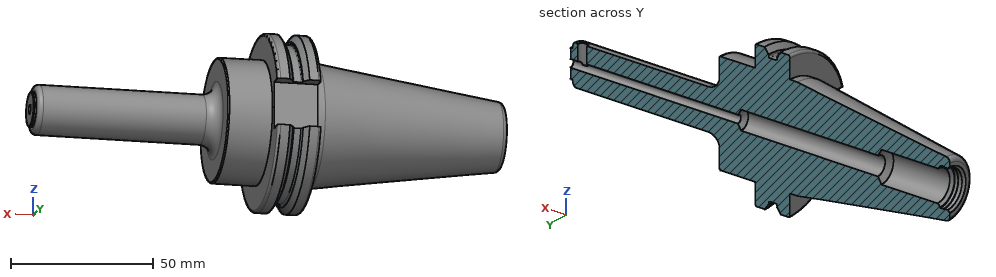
import cadquery as cq
import math

total_length = 169.8
gauge_x = 68.3
flange_start_x = gauge_x + 3.2
flange_end_x = gauge_x + 19.0
shoulder_end_x = gauge_x + 35.0
tip_length = 1.0
shank_end_x = total_length - tip_length

gauge_dia = 44.5
flange_dia = 63.4
shank_dia = 17.8
tip_dia = 12.5
taper_per_length = 7 / 24
small_end_dia = gauge_dia - gauge_x * taper_per_length

small_end_round = 2.0
flange_round = 1.0
shoulder_chamfer = 0.5
shank_root_radius = 5.0
shank_end_round = 1.9
tip_chamfer = 0.3

groove_center_x = gauge_x + 11.0
groove_dia = 56.0
groove_floor_width = 3.5
groove_mouth_width = 7.1
groove_wall_dia = 58.5
groove_corner_radius = 0.5

slot_width = 16.8
slot_floor_front = gauge_dia / 2
slot_floor_back = 24.8

mouth_dia = 17.8
pilot_dia = 16.0
relief_dia = 16.3
thread_mouth_dia = 15.8
thread_dia = 13.5
coolant_dia = 8.0
outlet_dia = 3.2
pilot_depth = 2.7
relief_end_depth = 4.2
thread_depth = 30.5
coolant_depth = 93.5
lead_in_angle = 45
drill_half_angle = 59

cross_hole_dia = 3.9
cross_hole_sink_dia = 5.0
cross_hole_x = 164.5


def cone_length(large_dia, small_dia, half_angle):
    """Axial length of a cone between two diameters."""
    return (large_dia - small_dia) / 2 / math.tan(math.radians(half_angle))


def revolve_about_x(profile):
    return profile.close().revolve(360, (0, 0, 0), (1, 0, 0))


def make_body():
    """Taper, shoulder and shank as one turned solid."""
    diag = math.sqrt(0.5)
    taper_angle = math.atan(taper_per_length / 2)
    round_end_x = small_end_round * (1 - math.sin(taper_angle))
    round_end_r = small_end_dia / 2 + round_end_x * taper_per_length / 2
    round_center_r = round_end_r - small_end_round * math.cos(taper_angle)
    round_mid_angle = (math.pi / 2 + taper_angle + math.pi) / 2
    round_mid = (
        small_end_round * (1 + math.cos(round_mid_angle)),
        round_center_r + small_end_round * math.sin(round_mid_angle),
    )
    root_center = (shoulder_end_x + shank_root_radius, shank_dia / 2 + shank_root_radius)
    root_mid = (root_center[0] - shank_root_radius * diag, root_center[1] - shank_root_radius * diag)
    end_center = (shank_end_x - shank_end_round, shank_dia / 2 - shank_end_round)
    end_mid = (end_center[0] + shank_end_round * diag, end_center[1] + shank_end_round * diag)

    profile = (
        cq.Workplane("XY")
        .moveTo(0, 0)
        .lineTo(0, round_center_r)
        .threePointArc(round_mid, (round_end_x, round_end_r))
        .lineTo(gauge_x, gauge_dia / 2)
        .lineTo(shoulder_end_x - shoulder_chamfer, gauge_dia / 2)
        .lineTo(shoulder_end_x, gauge_dia / 2 - shoulder_chamfer)
        .lineTo(shoulder_end_x, root_center[1])
        .threePointArc(root_mid, (root_center[0], shank_dia / 2))
        .lineTo(end_center[0], shank_dia / 2)
        .threePointArc(end_mid, (shank_end_x, end_center[1]))
        .lineTo(shank_end_x, tip_dia / 2)
        .lineTo(total_length - tip_chamfer, tip_dia / 2)
        .lineTo(total_length, tip_dia / 2 - tip_chamfer)
        .lineTo(total_length, 0)
    )
    return revolve_about_x(profile)


def make_flange():
    """Rounded disc with a gripper groove and two drive slots."""
    thickness = flange_end_x - flange_start_x
    disc = (
        cq.Workplane("YZ")
        .workplane(offset=flange_start_x)
        .circle(flange_dia / 2)
        .extrude(thickness)
        .edges()
        .fillet(flange_round)
    )
    groove = revolve_about_x(
        cq.Workplane("XY")
        .moveTo(groove_center_x - groove_mouth_width / 2, flange_dia / 2)
        .lineTo(groove_center_x - groove_floor_width / 2, groove_wall_dia / 2)
        .lineTo(groove_center_x - groove_floor_width / 2, groove_dia / 2)
        .lineTo(groove_center_x + groove_floor_width / 2, groove_dia / 2)
        .lineTo(groove_center_x + groove_floor_width / 2, groove_wall_dia / 2)
        .lineTo(groove_center_x + groove_mouth_width / 2, flange_dia / 2)
    )
    floor_corners = cq.selectors.RadiusNthSelector(0)
    groove = groove.edges(floor_corners).fillet(groove_corner_radius)
    disc = disc.cut(groove)
    for side, floor in ((-1, slot_floor_front), (1, slot_floor_back)):
        slot = cq.Workplane("XY").box(thickness, flange_dia, slot_width)
        slot_center = (flange_start_x + thickness / 2, side * (floor + flange_dia / 2), 0)
        disc = disc.cut(slot.translate(slot_center))
    return disc


def make_bore():
    """Chamfered pilot with a relief behind it, thread bore and coolant drilling, through to the tip."""
    mouth_end = cone_length(mouth_dia, pilot_dia, lead_in_angle)
    thread_start = relief_end_depth + cone_length(thread_mouth_dia, thread_dia, lead_in_angle)
    thread_cone_end = thread_depth + cone_length(thread_dia, coolant_dia, drill_half_angle)
    coolant_cone_end = coolant_depth + cone_length(coolant_dia, outlet_dia, drill_half_angle)
    profile = (
        cq.Workplane("XY")
        .moveTo(0, 0)
        .lineTo(0, mouth_dia / 2)
        .lineTo(mouth_end, pilot_dia / 2)
        .lineTo(pilot_depth, pilot_dia / 2)
        .lineTo(pilot_depth, relief_dia / 2)
        .lineTo(relief_end_depth, relief_dia / 2)
        .lineTo(relief_end_depth, thread_mouth_dia / 2)
        .lineTo(thread_start, thread_dia / 2)
        .lineTo(thread_depth, thread_dia / 2)
        .lineTo(thread_cone_end, coolant_dia / 2)
        .lineTo(coolant_depth, coolant_dia / 2)
        .lineTo(coolant_cone_end, outlet_dia / 2)
        .lineTo(total_length, outlet_dia / 2)
        .lineTo(total_length, 0)
    )
    return revolve_about_x(profile)


def make_cross_hole():
    """Vertical hole from the top of the shank to the axial bore, countersunk at the top."""
    sink_depth = cone_length(cross_hole_sink_dia, cross_hole_dia, lead_in_angle)
    top = shank_dia / 2
    profile = (
        cq.Workplane("XZ")
        .moveTo(cross_hole_x, 0)
        .lineTo(cross_hole_x + cross_hole_dia / 2, 0)
        .lineTo(cross_hole_x + cross_hole_dia / 2, top - sink_depth)
        .lineTo(cross_hole_x + cross_hole_sink_dia / 2, top)
        .lineTo(cross_hole_x, top)
        .close()
    )
    return profile.revolve(360, (cross_hole_x, 0, 0), (cross_hole_x, 1, 0))


result = make_body().union(make_flange()).cut(make_bore()).cut(make_cross_hole())